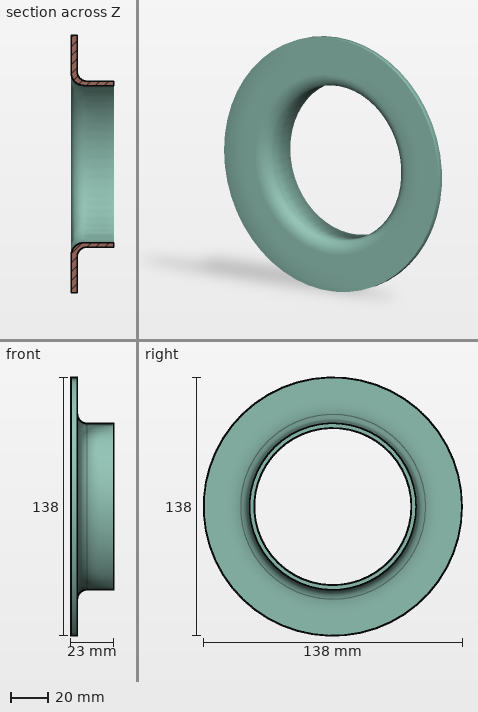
import cadquery as cq

flange_diameter = 138.0
neck_outer_diameter = 88.9
wall_thickness = 2.6
flange_thickness = 3.5
total_length = 23.0
mouth_radius = 7.0
neck_fillet_radius = 4.9

flange_radius = flange_diameter / 2
neck_outer_radius = neck_outer_diameter / 2
bore_diameter = neck_outer_diameter - 2 * wall_thickness


def make_collar():
    """Disc with a coaxial neck and a through bore, along +X from the flange face at X = 0."""
    flange = cq.Workplane("YZ").circle(flange_radius).extrude(flange_thickness)
    neck = cq.Workplane("YZ").circle(neck_outer_radius).extrude(total_length)
    bore = cq.Workplane("YZ").circle(bore_diameter / 2).extrude(total_length)
    return flange.union(neck).cut(bore)


def round_mouth(body):
    """Round the bore edge on the flange face."""
    return body.faces("<X").edges(cq.selectors.RadiusNthSelector(0)).fillet(mouth_radius)


def fillet_neck(body):
    """Blend the neck into the back face of the flange."""
    box_margin = wall_thickness / 2
    reach = neck_outer_radius + box_margin
    corner_region = cq.selectors.BoxSelector(
        (flange_thickness - box_margin, -reach, -reach),
        (flange_thickness + box_margin, reach, reach),
        boundingbox=True,
    )
    return body.edges(corner_region).fillet(neck_fillet_radius)


result = round_mouth(fillet_neck(make_collar()))